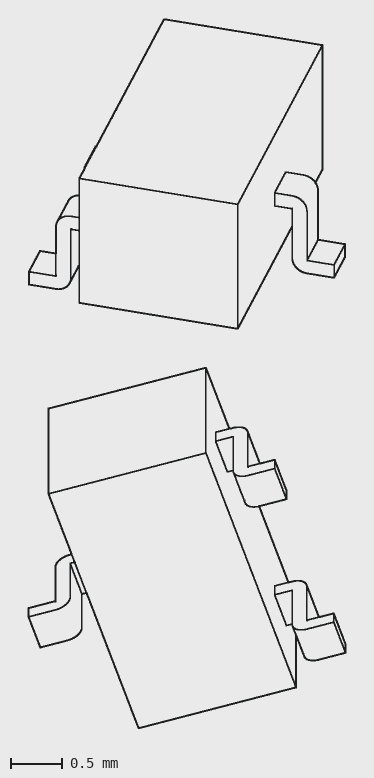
import cadquery as cq

housing_length = 2.9
housing_width = 1.6
housing_height = 1.45
standoff = 0.1

lead_span = 2.8
lead_thickness = 0.15
lead_width = 0.38
lead_top = 0.875
foot_length = 0.273
lead_pitch = 1.9
bend_radius = lead_thickness


def make_housing():
    return cq.Workplane("XY").workplane(offset=standoff).box(
        housing_width, housing_length, housing_height, centered=(True, True, False)
    )


def make_lead(side, y_center):
    """Lead on the +X (side = 1) or -X (side = -1) face, butting against the housing."""
    tip = side * lead_span / 2
    root = side * housing_width / 2
    upright_outer = tip - side * foot_length
    upright_inner = upright_outer - side * lead_thickness
    profile = (
        cq.Workplane("XZ", origin=(0, y_center, 0))
        .moveTo(tip, 0)
        .lineTo(tip, lead_thickness)
        .lineTo(upright_outer, lead_thickness)
        .lineTo(upright_outer, lead_top - bend_radius)
        .radiusArc((upright_inner, lead_top), -side * bend_radius)
        .lineTo(root, lead_top)
        .lineTo(root, lead_top - lead_thickness)
        .lineTo(upright_inner, lead_top - lead_thickness)
        .lineTo(upright_inner, bend_radius)
        .radiusArc((upright_outer, 0), -side * bend_radius)
        .close()
    )
    return profile.extrude(lead_width / 2, both=True)


housing = make_housing()

lead_places = [(1, 0), (-1, -lead_pitch / 2), (-1, lead_pitch / 2)]
leads = [make_lead(side, y_center) for side, y_center in lead_places]

result = cq.Compound.makeCompound([housing.val(), *[lead.val() for lead in leads]])